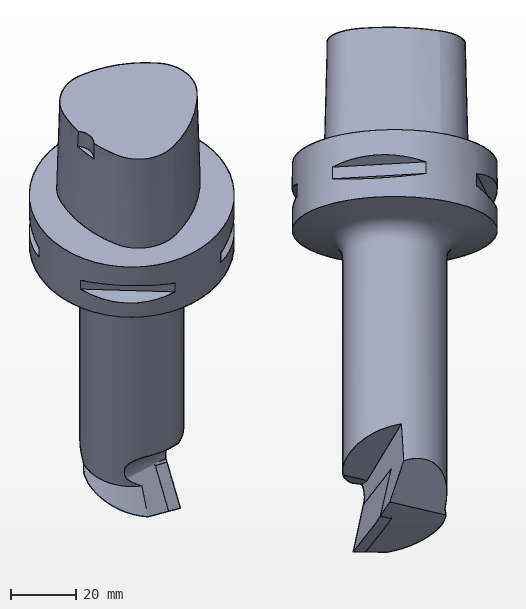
import cadquery as cq
import math

shank_length = 37.8
lobe_offset = 9.5
lobe_radius = 14.0
flat_offset = 19.8
flat_radius = lobe_radius + math.hypot(
    lobe_offset * math.cos(math.radians(30)),
    flat_offset + lobe_offset * math.sin(math.radians(30)),
)
shank_taper = 1.0
notch_radius = 5.4
notch_depth = 6.5
notch_inner_y = -17.7

flange_radius = 63.0 / 2
flange_thickness = 21.8
neck_radius = 32.0 / 2
cone_angle = 15.0
cove_radius = 6.3

slot_count = 4
slot_z = -11.8
slot_floor_distance = 28.0
slot_floor_height = 3.8
slot_mouth_height = 7.6

tip_z = shank_length - 158.0
tip_x = 22.0
head_radius = 22.5
flare_z = -110.9
slant_top_z = -101.0
slant_end_x = -4.0
slant_end_z = -112.3
end_slope = 0.27
front_relief = 0.03
crease_x = 5.5

rake_y = 4.1
rake_slope_x = -0.155
rake_slope_z = 0.058
roof_z = -96.5
roof_slope = -0.43
roof_low_z = -101.0
gullet_start = (12.6, -106.8)
gullet_middle = (12.8, -102.4)
gullet_end = (16.1, -99.0)
relief_angle = 10.0

insert_thickness = 4.1
insert_end_run = 19.0
insert_side_run = 8.8

seat_overrun = 0.5

reach = 63.2


def shank_section(inset, z):
    """Closed outline of six tangent arcs, one lobe pointing to +Y."""
    lobe = lobe_radius - inset
    flat = flat_radius - inset
    half_angle = math.atan2(
        lobe_offset * math.cos(math.radians(30)),
        flat_offset + lobe_offset * math.sin(math.radians(30)),
    )

    def flat_point(direction, turn):
        angle = direction + turn
        return (
            flat * math.cos(angle) - flat_offset * math.cos(direction),
            flat * math.sin(angle) - flat_offset * math.sin(direction),
        )

    outline = cq.Workplane("XY", origin=(0, 0, z))
    outline = outline.moveTo(*flat_point(math.radians(-90), -half_angle))
    for i in range(3):
        direction = math.radians(-90 + 120 * i)
        lobe_direction = direction + math.radians(60)
        next_flat = direction + math.radians(120)
        lobe_reach = lobe_offset + lobe
        lobe_peak = (lobe_reach * math.cos(lobe_direction), lobe_reach * math.sin(lobe_direction))
        outline = outline.threePointArc(flat_point(direction, 0), flat_point(direction, half_angle))
        outline = outline.threePointArc(lobe_peak, flat_point(next_flat, -half_angle))
    return outline.close().val()


def make_shank():
    sections = [shank_section(0, 0), shank_section(shank_taper, shank_length)]
    shank = cq.Workplane(cq.Solid.makeLoft(sections, True))
    notch = (
        cq.Workplane("XY", origin=(0, notch_inner_y - notch_radius, shank_length - notch_depth))
        .circle(notch_radius)
        .extrude(notch_depth)
    )
    return shank.cut(notch)


def make_turned_body():
    """Flange, cove, neck and flared head as one revolved profile."""
    angle = math.radians(cone_angle)
    corner_z = -flange_thickness - (flange_radius - neck_radius) * math.tan(angle)
    tangent = cove_radius * math.tan((math.pi / 2 - angle) / 2)
    cone_end = (neck_radius + tangent * math.cos(angle), corner_z + tangent * math.sin(angle))
    cove_center = (neck_radius + cove_radius, corner_z - tangent)
    middle_angle = (math.pi + math.pi / 2 + angle) / 2
    cove_middle = (
        cove_center[0] + cove_radius * math.cos(middle_angle),
        cove_center[1] + cove_radius * math.sin(middle_angle),
    )
    return (
        cq.Workplane("XZ")
        .moveTo(0, 0)
        .lineTo(flange_radius, 0)
        .lineTo(flange_radius, -flange_thickness)
        .lineTo(*cone_end)
        .threePointArc(cove_middle, (neck_radius, cove_center[1]))
        .lineTo(neck_radius, flare_z)
        .lineTo(head_radius, tip_z)
        .lineTo(0, tip_z)
        .close()
        .revolve(360, (0, 0, 0), (0, 1, 0))
    )


def make_slot_cutter():
    """Trapezoidal slot lying across +X."""
    floor = slot_floor_height / 2
    mouth = slot_mouth_height / 2
    return (
        cq.Workplane("XZ")
        .polyline([
            (slot_floor_distance, slot_z - floor),
            (flange_radius, slot_z - mouth),
            (flange_radius, slot_z + mouth),
            (slot_floor_distance, slot_z + floor),
        ])
        .close()
        .extrude(flange_radius, both=True)
    )


def half_space(point, normal):
    """Large box on the side of a plane to which the normal points."""
    plane = cq.Plane(origin=point, normal=normal)
    return cq.Workplane(plane).rect(4 * reach, 4 * reach).extrude(2 * reach)


def rake_half_space(offset):
    """Space on the +Y side of the rake plane, moved back toward -Y by the offset."""
    normal = (-rake_slope_x, 1, -rake_slope_z)
    return half_space((0, rake_y - offset, flare_z), normal)


def cut_end_faces(body):
    slant = (slant_end_z - slant_top_z) / (slant_end_x + neck_radius)
    body = body.cut(half_space((slant_end_x, 0, slant_end_z), (slant, 0, -1)))
    crease_z = tip_z + end_slope * (tip_x - crease_x)
    inner_slope = (crease_z - slant_end_z) / (crease_x - slant_end_x)
    body = body.cut(half_space((slant_end_x, 0, slant_end_z), (inner_slope, 0, -1)))
    return body.cut(half_space((tip_x, 0, tip_z), (-end_slope, -front_relief, -1)))


def cut_chip_pocket(body):
    below_roof = half_space((0, 0, roof_z), (roof_slope, 0, -1))
    below_level = half_space((0, 0, roof_low_z), (0, 0, -1))
    for region in (below_roof, below_level):
        body = body.cut(rake_half_space(0).intersect(region))
    return body


def cut_gullet(body):
    """Side opening that narrows toward +Y, leaving relief behind the cutting edge."""
    edge_slope = (tip_z - gullet_start[1]) / (tip_x - gullet_start[0])
    below_tip = (tip_x + neck_radius, tip_z + edge_slope * neck_radius)
    for extent, taper in ((neck_radius, -relief_angle), (-neck_radius, relief_angle)):
        cutter = (
            cq.Workplane("XZ")
            .moveTo(*below_tip)
            .lineTo(*gullet_start)
            .threePointArc(gullet_middle, gullet_end)
            .lineTo(reach, gullet_end[1] + neck_radius)
            .lineTo(reach, below_tip[1])
            .close()
            .extrude(extent, taper=taper)
        )
        body = body.cut(cutter)
    return body


def make_insert_space():
    """Parallelogram seat under the rake plane, open at both cutting edges."""
    side_slope = (gullet_start[1] - tip_z) / (tip_x - gullet_start[0])
    end_rise = insert_end_run * end_slope
    side_rise = insert_side_run * side_slope
    corner = (
        tip_x + seat_overrun * (insert_end_run + insert_side_run),
        tip_z - seat_overrun * (end_rise + side_rise),
    )
    edge_scale = 1 + seat_overrun
    end_corner = (corner[0] - insert_end_run * edge_scale, corner[1] + end_rise * edge_scale)
    side_corner = (corner[0] - insert_side_run * edge_scale, corner[1] + side_rise * edge_scale)
    back_corner = (end_corner[0] + side_corner[0] - corner[0], end_corner[1] + side_corner[1] - corner[1])
    prism = (
        cq.Workplane("XZ")
        .polyline([corner, end_corner, back_corner, side_corner])
        .close()
        .extrude(reach, both=True)
    )
    return prism.intersect(rake_half_space(insert_thickness))


blank = make_turned_body()
for i in range(slot_count):
    slot_angle = 45 + 360 / slot_count * i
    blank = blank.cut(make_slot_cutter().rotate((0, 0, 0), (0, 0, 1), slot_angle))
blank = cut_gullet(cut_chip_pocket(cut_end_faces(blank)))

insert_space = make_insert_space()
insert = blank.intersect(insert_space)
holder = blank.cut(insert_space).union(make_shank())

result = cq.Compound.makeCompound([holder.val(), insert.val()])